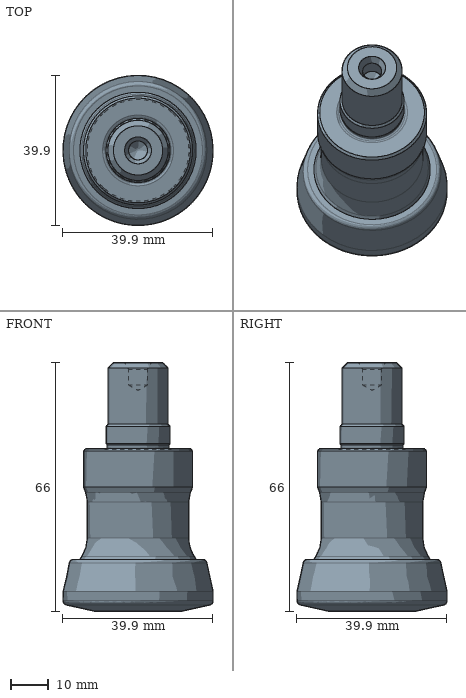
import cadquery as cq
import math

TOP = 66.0
COLLAR_TOP = 49.6
COLLAR_BOTTOM = 44.55
SHOULDER_TOP = 43.15
SHOULDER_BOTTOM = 33.0
FOOT_TOP = 13.8
SKIRT_BOTTOM = 5.3

SHANK_RADIUS = 16.0 / 2
TIP_CHAMFER = 1.45
COLLAR_RADIUS = 17.0 / 2
COLLAR_CHAMFER_HEIGHT = 0.6
NECK_RADIUS = 16.5 / 2
NECK_TAPER_HEIGHT = 0.4

UNDERCUT_RADIUS = 18.8 / 2
UNDERCUT_ANGLE = 17.0
UNDERCUT_FILLET = 0.4

SHOULDER_RADIUS = 29.0 / 2
SHOULDER_CHAMFER = 0.6
WAIST_RADIUS = 27.0 / 2
SHOULDER_TAPER_ANGLE = 20.0
SHOULDER_TAPER_FILLET = 7.5
FLARE_RADIUS = 15.45
FLARE_ANGLE = 33.0
FLARE_FILLET = 8.9

HOLE_RADIUS = 5.0 / 2
HOLE_MOUTH_RADIUS = 7.1 / 2
HOLE_MOUTH_DEPTH = 1.8
HOLE_DEPTH = 5.95
DRILL_HALF_ANGLE = 60.0

FOOT_RADIUS = 39.85 / 2
FOOT_TOP_RADIUS = 18.1
FOOT_BOTTOM_RADIUS = 11.6
BOTTOM_CONE_HEIGHT = 1.85
FOOT_FILLET = 1.2


def revolve_profile(points):
    """Turn (radius, height) points about the Z axis into a solid."""
    return cq.Workplane("XZ").polyline(points).close().revolve(360, (0, 0, 0), (0, 1, 0))


def fillet_ring(body, radius, height, size):
    """Round the circular edge that has this radius and height."""
    tolerance = 0.0005

    def is_ring(edge):
        return (
            edge.geomType() == "CIRCLE"
            and abs(edge.radius() - radius) < tolerance
            and abs(edge.Center().z - height) < tolerance
        )

    rings = body.edges("%CIRCLE").filter(is_ring)
    return rings.fillet(size)


def make_centre_hole():
    """Countersunk blind hole with a drill point, as a cutting solid."""
    point_height = HOLE_RADIUS / math.tan(math.radians(DRILL_HALF_ANGLE))
    return revolve_profile([
        (0, TOP),
        (HOLE_MOUTH_RADIUS, TOP),
        (HOLE_RADIUS, TOP - HOLE_MOUTH_DEPTH),
        (HOLE_RADIUS, TOP - HOLE_DEPTH),
        (0, TOP - HOLE_DEPTH - point_height),
    ])


def make_stud():
    """Turned stud: shank, collar, undercut neck, shoulder and flared waist."""
    undercut_depth = (UNDERCUT_RADIUS - NECK_RADIUS) * math.tan(math.radians(UNDERCUT_ANGLE))
    undercut_floor = SHOULDER_TOP - undercut_depth
    shoulder_taper = (SHOULDER_RADIUS - WAIST_RADIUS) / math.tan(math.radians(SHOULDER_TAPER_ANGLE))
    waist_top = SHOULDER_BOTTOM - shoulder_taper
    waist_bottom = FOOT_TOP + (FLARE_RADIUS - WAIST_RADIUS) / math.tan(math.radians(FLARE_ANGLE))

    stud = revolve_profile([
        (0, TOP),
        (SHANK_RADIUS - TIP_CHAMFER, TOP),
        (SHANK_RADIUS, TOP - TIP_CHAMFER),
        (SHANK_RADIUS, COLLAR_TOP),
        (COLLAR_RADIUS, COLLAR_TOP - COLLAR_CHAMFER_HEIGHT),
        (COLLAR_RADIUS, COLLAR_BOTTOM),
        (NECK_RADIUS, COLLAR_BOTTOM - NECK_TAPER_HEIGHT),
        (NECK_RADIUS, undercut_floor),
        (UNDERCUT_RADIUS, SHOULDER_TOP),
        (SHOULDER_RADIUS - SHOULDER_CHAMFER, SHOULDER_TOP),
        (SHOULDER_RADIUS, SHOULDER_TOP - SHOULDER_CHAMFER),
        (SHOULDER_RADIUS, SHOULDER_BOTTOM),
        (WAIST_RADIUS, waist_top),
        (WAIST_RADIUS, waist_bottom),
        (FLARE_RADIUS, FOOT_TOP),
        (0, FOOT_TOP),
    ])
    stud = fillet_ring(stud, NECK_RADIUS, undercut_floor, UNDERCUT_FILLET)
    stud = fillet_ring(stud, WAIST_RADIUS, waist_top, SHOULDER_TAPER_FILLET)
    stud = fillet_ring(stud, WAIST_RADIUS, waist_bottom, FLARE_FILLET)
    return stud.cut(make_centre_hole())


def make_foot():
    """Round foot with a tapered skirt and a shallow conical underside."""
    foot = revolve_profile([
        (0, 0),
        (FOOT_BOTTOM_RADIUS, 0),
        (FOOT_RADIUS, BOTTOM_CONE_HEIGHT),
        (FOOT_RADIUS, SKIRT_BOTTOM),
        (FOOT_TOP_RADIUS, FOOT_TOP),
        (0, FOOT_TOP),
    ])
    foot = fillet_ring(foot, FOOT_RADIUS, BOTTOM_CONE_HEIGHT, FOOT_FILLET)
    return fillet_ring(foot, FOOT_TOP_RADIUS, FOOT_TOP, FOOT_FILLET)


stud = make_stud()
foot = make_foot()

result = cq.Compound.makeCompound([stud.val(), foot.val()])